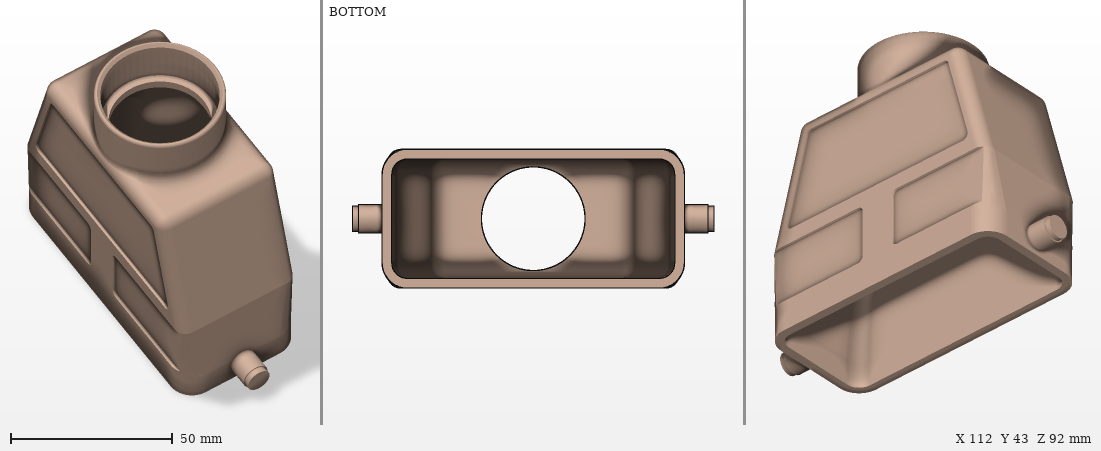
import cadquery as cq
import math

body_depth = 43.0
base_half_length = 46.8
shoulder_half_length = 45.0
top_half_length = 33.0
skirt_height = 9.0
shoulder_height = 31.6
body_height = 75.9
skirt_corner_radius = 7.8
body_edge_radius = 4.0

side_wall = 3.0
top_wall = 2.2

overall_height = 92.0
neck_diameter = 41.0
neck_bore_diameter = 37.0
neck_bore_depth = 15.2
entry_diameter = 32.0
rim_fillet = 1.0
root_fillet = 2.0

overall_length = 112.0
pin_diameter = 8.8
pin_tip_diameter = 8.0
pin_tip_length = 1.9
pin_height = 6.3
pin_embedment = 2.2

recess_depth = 0.9
recess_draft_angle = 20
panel_corner_radius = 2.0
lower_panel_inner = 6.0
lower_panel_bottom = 11.0
lower_panel_top = 31.8
upper_panel_bottom = 37.1
upper_panel_top = 70.7
upper_panel_margin = 5.2

end_slope = (shoulder_half_length - top_half_length) / (body_height - shoulder_height)


def upper_half_length(z):
    """Half length of the body at height z above the shoulder."""
    return shoulder_half_length - end_slope * (z - shoulder_height)


def hood_solid(inset, flat_top):
    """Hood shape with its sides moved inward by inset and its flat top at height flat_top."""
    depth = body_depth - 2 * inset
    shoulder = shoulder_half_length - inset
    top = upper_half_length(flat_top) - inset

    upper = (
        cq.Workplane("XZ")
        .polyline([
            (-shoulder, shoulder_height),
            (shoulder, shoulder_height),
            (top, flat_top),
            (-top, flat_top),
        ])
        .close()
        .extrude(depth / 2, both=True)
        .edges("not <Z")
        .fillet(body_edge_radius)
    )
    skirt = (
        cq.Workplane("XY")
        .rect(2 * (base_half_length - inset), depth)
        .extrude(skirt_height)
        .edges("|Z")
        .fillet(skirt_corner_radius - inset)
    )
    transition = cq.Solid.makeLoft(
        [skirt.faces(">Z").wires().val(), upper.faces("<Z").wires().val()],
        True,
    )
    return upper.union(skirt).union(cq.Workplane(transition))


def add_neck(body):
    """Join the round neck to the body and blend its root into the rounded top."""
    neck_base = body_height - 2 * body_edge_radius
    neck = (
        cq.Workplane("XY", origin=(0, 0, neck_base))
        .circle(neck_diameter / 2)
        .extrude(overall_height - neck_base)
        .faces(">Z")
        .edges()
        .fillet(rim_fillet)
    )
    clearance = 0.1
    reach = neck_diameter / 2 + clearance
    root_zone = cq.selectors.BoxSelector(
        (-reach, -reach, body_height - body_edge_radius),
        (reach, reach, body_height + clearance),
        boundingbox=True,
    )
    return body.union(neck).edges(root_zone).fillet(root_fillet)


def neck_opening():
    """Stepped bore with a 45 degree lead-in that meets the rim fillet."""
    entry_radius = entry_diameter / 2
    bore_radius = neck_bore_diameter / 2
    lead_in_radius = neck_diameter / 2 - rim_fillet
    lead_in_bottom = overall_height - (lead_in_radius - bore_radius)
    bore_floor = overall_height - neck_bore_depth
    entry_bottom = body_height - top_wall - body_edge_radius
    return (
        cq.Workplane("XZ")
        .polyline([
            (0, entry_bottom),
            (entry_radius, entry_bottom),
            (entry_radius, bore_floor),
            (bore_radius, bore_floor),
            (bore_radius, lead_in_bottom),
            (lead_in_radius, overall_height),
            (0, overall_height),
        ])
        .close()
        .revolve(360, (0, 0, 0), (0, 1, 0))
    )


def panel_recess(outline):
    """Shallow recess with rounded corners and drafted walls in the -Y face."""
    sketch = cq.Sketch().polygon(outline + outline[:1]).vertices().fillet(panel_corner_radius)
    return (
        cq.Workplane("XZ", origin=(0, -body_depth / 2, 0))
        .placeSketch(sketch)
        .extrude(-recess_depth, taper=recess_draft_angle)
    )


def front_recesses():
    """One trapezoid above and two panels below that run out past the ends."""
    margin = upper_panel_margin * math.hypot(1, end_slope)
    bottom = upper_half_length(upper_panel_bottom) - margin
    top = upper_half_length(upper_panel_top) - margin
    outer = overall_length / 2
    upper = panel_recess([
        (-bottom, upper_panel_bottom),
        (bottom, upper_panel_bottom),
        (top, upper_panel_top),
        (-top, upper_panel_top),
    ])
    right = panel_recess([
        (lower_panel_inner, lower_panel_bottom),
        (outer, lower_panel_bottom),
        (outer, lower_panel_top),
        (lower_panel_inner, lower_panel_top),
    ])
    return upper.union(right).union(right.mirror("YZ"))


def locking_pin():
    """Stepped pin on the +X end."""
    pin_root = base_half_length - pin_embedment
    tip_start = overall_length / 2 - pin_tip_length
    return (
        cq.Workplane("YZ", origin=(pin_root, 0, pin_height))
        .circle(pin_diameter / 2)
        .extrude(tip_start - pin_root)
        .faces(">X")
        .workplane()
        .circle(pin_tip_diameter / 2)
        .extrude(pin_tip_length)
    )


recesses = front_recesses()
pin = locking_pin()
cavity = hood_solid(side_wall, body_height - top_wall)

result = (
    add_neck(hood_solid(0, body_height))
    .cut(recesses)
    .cut(recesses.mirror("XZ"))
    .cut(cavity)
    .cut(neck_opening())
    .union(pin)
    .union(pin.mirror("YZ"))
)